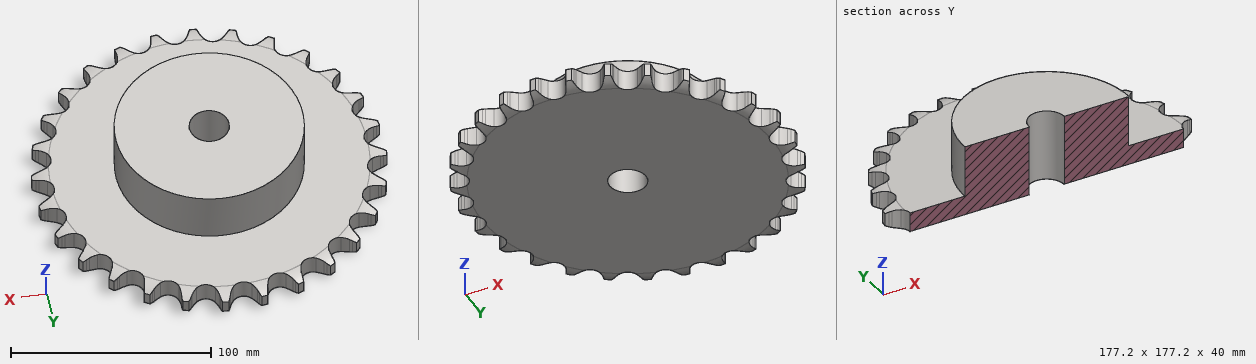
import cadquery as cq
import math

tooth_count = 28
overall_width = 177.2
pitch_diameter = 170.1
plate_thickness = 11.2
total_height = 40.0
hub_diameter = 95.0
bore_diameter = 20.0

seat_radius = 6.0
seat_slope = 53
flank_arc_radius = 15.8
flank_slope = 69
flank_straight_length = 1.6
head_radius = 10.0

side_round_start_radius = 80.3
side_round_radius = 19.5

tip_clearance = 1.8


def below(center, radius, angle_degrees):
    """Point on a circle, at an angle from its lowest point toward +X."""
    angle = math.radians(angle_degrees)
    return center[0] + radius * math.sin(angle), center[1] - radius * math.cos(angle)


def mirrored(point):
    return -point[0], point[1]


seat_center = (0, pitch_diameter / 2)
seat_bottom = below(seat_center, seat_radius, 0)
seat_end = below(seat_center, seat_radius, seat_slope)

flank_center = below(seat_center, seat_radius - flank_arc_radius, seat_slope)
flank_middle = below(flank_center, flank_arc_radius, (seat_slope + flank_slope) / 2)
flank_end = below(flank_center, flank_arc_radius, flank_slope)

head_start = (
    flank_end[0] + flank_straight_length * math.cos(math.radians(flank_slope)),
    flank_end[1] + flank_straight_length * math.sin(math.radians(flank_slope)),
)
head_center = below(head_start, head_radius, flank_slope)


def head_point(y):
    """Point of the convex head arc at height y."""
    return head_center[0] - math.sqrt(head_radius**2 - (y - head_center[1]) ** 2), y


tip_corner = head_point(overall_width / 2)
head_middle = head_point((head_start[1] + tip_corner[1]) / 2)
tip_radius = math.hypot(*tip_corner)


def make_blank():
    """Round plate whose rim narrows toward the tip by an arc on both sides."""
    rim_run = tip_radius - side_round_start_radius
    middle_run = rim_run / 2

    def rim_drop(run):
        return side_round_radius - math.sqrt(side_round_radius**2 - run**2)

    middle_radius = side_round_start_radius + middle_run
    profile = (
        cq.Workplane("XZ")
        .lineTo(side_round_start_radius, 0)
        .threePointArc((middle_radius, rim_drop(middle_run)), (tip_radius, rim_drop(rim_run)))
        .lineTo(tip_radius, plate_thickness - rim_drop(rim_run))
        .threePointArc(
            (middle_radius, plate_thickness - rim_drop(middle_run)),
            (side_round_start_radius, plate_thickness),
        )
        .lineTo(0, plate_thickness)
        .close()
    )
    return profile.revolve(360, (0, 0), (0, 1))


def make_gap():
    """Cutter for the tooth gap that lies on the +Y axis."""
    top = (tip_corner[0], tip_radius + tip_clearance)
    return (
        cq.Workplane("XY")
        .moveTo(*mirrored(top))
        .lineTo(*mirrored(tip_corner))
        .threePointArc(mirrored(head_middle), mirrored(head_start))
        .lineTo(*mirrored(flank_end))
        .threePointArc(mirrored(flank_middle), mirrored(seat_end))
        .threePointArc(seat_bottom, seat_end)
        .threePointArc(flank_middle, flank_end)
        .lineTo(*head_start)
        .threePointArc(head_middle, tip_corner)
        .lineTo(*top)
        .close()
        .extrude(plate_thickness)
    )


result = make_blank()
gap = make_gap()
for index in range(tooth_count):
    result = result.cut(gap.rotate((0, 0, 0), (0, 0, 1), index * 360 / tooth_count))

hub = cq.Workplane("XY").circle(hub_diameter / 2).extrude(total_height)
result = result.union(hub)

bore = cq.Workplane("XY").circle(bore_diameter / 2).extrude(total_height)
result = result.cut(bore)